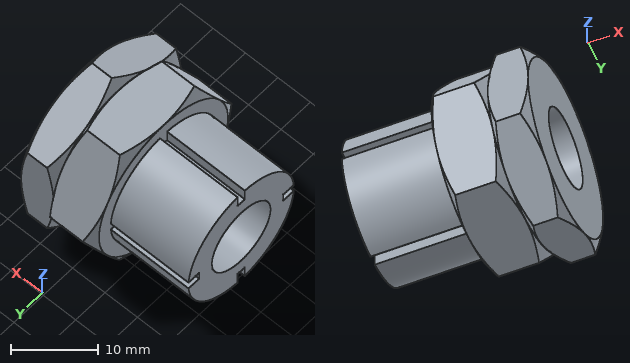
import cadquery as cq
import math

hex_corner_diameter = 25.4
collar_width = 7.0
nut_width = 5.0
sleeve_length = 12.0
sleeve_diameter = 18.0
bore_diameter = 10.0
slot_width = 1.22
slot_depth = 1.83
slot_count = 4
corner_bevel_angle = 30.0

hex_corner_radius = hex_corner_diameter / 2
hex_flat_radius = hex_corner_radius * math.cos(math.pi / 6)
bevel_length = (hex_corner_radius - hex_flat_radius) * math.tan(math.radians(corner_bevel_angle))
sleeve_radius = sleeve_diameter / 2
collar_start = sleeve_length
nut_start = collar_start + collar_width


def axial_cylinder(start, length, diameter):
    """Cylinder about the X axis, beginning at the given X position."""
    return cq.Workplane("YZ", origin=(start, 0, 0)).circle(diameter / 2).extrude(length)


def bevelled_hexagon(start, width, turn):
    """Hexagonal prism with conically bevelled corners; at zero turn its corners lie on the Y axis."""
    prism = (
        cq.Workplane("YZ", origin=(start, 0, 0))
        .polygon(6, hex_corner_diameter)
        .extrude(width)
        .rotate((0, 0, 0), (1, 0, 0), turn)
    )
    end = start + width
    turned_envelope = (
        cq.Workplane("XY")
        .moveTo(start, 0)
        .lineTo(start, hex_flat_radius)
        .lineTo(start + bevel_length, hex_corner_radius)
        .lineTo(end - bevel_length, hex_corner_radius)
        .lineTo(end, hex_flat_radius)
        .lineTo(end, 0)
        .close()
        .revolve(360, (0, 0, 0), (1, 0, 0))
    )
    return prism.intersect(turned_envelope)


def sleeve_slot(angle):
    """Cutter for one slot along the sleeve, open at its free end and stopping at the collar."""
    slot_floor = sleeve_radius - slot_depth
    cutter_height = 2 * slot_depth
    return (
        cq.Workplane("XY")
        .box(sleeve_length, slot_width, cutter_height, centered=(False, True, False))
        .translate((0, 0, slot_floor))
        .rotate((0, 0, 0), (1, 0, 0), angle)
    )


def make_slotted_sleeve():
    """Slotted sleeve with its hexagonal collar and through bore."""
    sleeve = axial_cylinder(0, sleeve_length, sleeve_diameter)
    for index in range(slot_count):
        sleeve = sleeve.cut(sleeve_slot(index * 360 / slot_count))
    collar = bevelled_hexagon(collar_start, collar_width, 0)
    bore = axial_cylinder(0, nut_start, bore_diameter)
    return sleeve.union(collar).cut(bore)


def make_nut():
    """Hexagonal nut behind the collar, turned to put its corners on the Z axis."""
    quarter_turn = 90
    bore = axial_cylinder(nut_start, nut_width, bore_diameter)
    return bevelled_hexagon(nut_start, nut_width, quarter_turn).cut(bore)


slotted_sleeve = make_slotted_sleeve()
nut = make_nut()

result = cq.Compound.makeCompound([slotted_sleeve.val(), nut.val()])